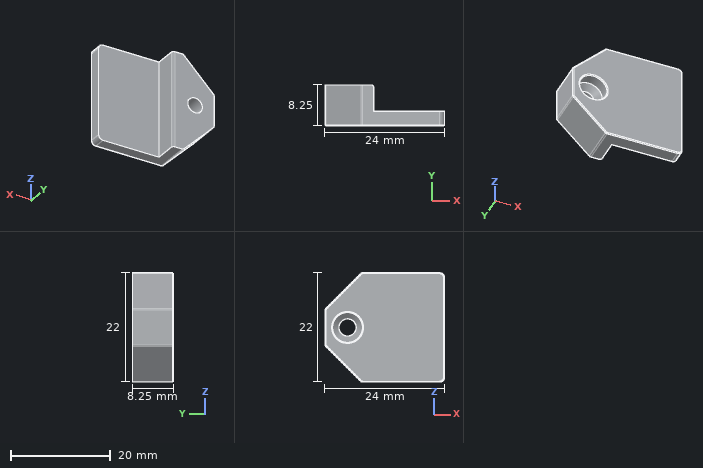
import cadquery as cq

length = 24.0
depth = 8.25
height = 22.0

corner_cut = 7.32
cut_edge_radius = 0.5
plate_corner_radius = 1.0
front_chamfer = 0.2

block_length = 9.8
plate_thickness = 3.0
block_edge_radius = 0.5

hole_x = 4.5
hole_diameter = 3.4
head_diameter = 6.0
head_depth = 2.62

half_height = height / 2


def make_body():
    """Stepped body: thick block with sloping corners and a thin plate."""
    outline = [
        (0, half_height - corner_cut),
        (corner_cut, half_height),
        (length, half_height),
        (length, -half_height),
        (corner_cut, -half_height),
        (0, corner_cut - half_height),
    ]
    body = cq.Workplane("XZ").polyline(outline).close().extrude(-depth)
    body = body.edges("|Y").edges(">X").fillet(plate_corner_radius)
    cut_edges = cq.selectors.BoxSelector(
        (-cut_edge_radius, 0, -height), (corner_cut + cut_edge_radius, depth, height)
    )
    body = body.edges("|Y").edges(cut_edges).fillet(cut_edge_radius)
    clearance = (
        cq.Workplane("XY")
        .box(length, depth, height, centered=(False, False, True))
        .translate((block_length, plate_thickness, 0))
    )
    body = body.cut(clearance)
    body = body.faces(">Y").edges("|Z").edges(">X").fillet(block_edge_radius)
    return body.faces("<Y").edges().chamfer(front_chamfer)


def make_screw_hole():
    """Through hole with a straight head recess, a 90 degree seat and a bevelled mouth."""
    hole_radius = hole_diameter / 2
    head_radius = head_diameter / 2
    seat_depth = head_radius - hole_radius
    profile = [
        (0, 0),
        (head_radius + front_chamfer, 0),
        (head_radius, front_chamfer),
        (head_radius, head_depth),
        (hole_radius, head_depth + seat_depth),
        (hole_radius, depth),
        (0, depth),
    ]
    hole = cq.Workplane("XY").polyline(profile).close().revolve(360, (0, 0), (0, 1))
    return hole.translate((hole_x, 0, 0))


result = make_body().cut(make_screw_hole())